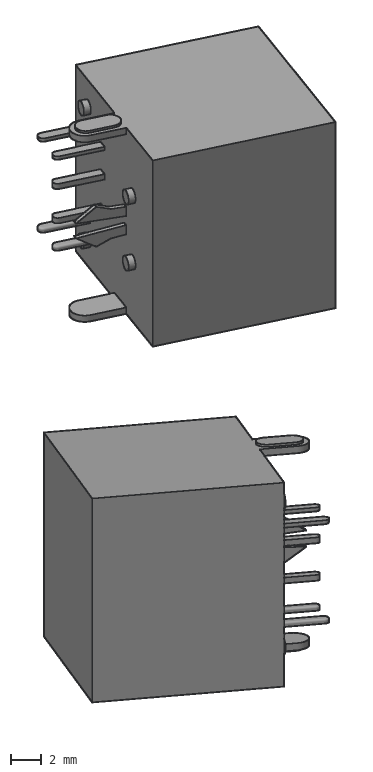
import cadquery as cq

body_width = 13.1
body_depth = 12.8
body_height = 14.02

pin_length = 3.5

standoff_diameter = 1.01
standoff_length = 0.49
outer_column_x = -4.45
standoff_places = [(outer_column_x, 5.0), (3.15, 2.5)]

inner_column_x = -1.95
outer_pin_width = 0.75
inner_pin_width = 0.68
thin_pin_z = 3.39
thin_pin_thickness = 0.33
pin_fillet_radius = 0.15
thick_pin_z = 1.29
thick_pin_thickness = 0.4

blade_x = 1.86
blade_thickness = 0.35
blade_inner_root = (0, 0.35)
blade_tip = (pin_length, 0.55)
blade_barb_peak = (2.09, 1.5)
blade_barb_start = (1.06, 1.11)
blade_outer_root = (0, 1.05)

lug_x = 1.06
lug_width = 2.02
lug_thickness = 0.49
pad_width = 1.4
pad_length = 3.13
pad_height = 0.16


def housing():
    """Block centred on X and Z that reaches back from the pin face to +Y."""
    return cq.Workplane("XY").box(
        body_width, body_depth, body_height, centered=(True, False, True)
    )


def round_ended_tongue(x_mid, width, z_low, thickness):
    """Flat tongue leaving the pin face, with a semicircular free end."""
    radius = width / 2
    straight_end = -(pin_length - radius)
    return (
        cq.Workplane("XY", origin=(x_mid, 0, z_low))
        .moveTo(-radius, 0)
        .lineTo(-radius, straight_end)
        .threePointArc((0, -pin_length), (radius, straight_end))
        .lineTo(radius, 0)
        .close()
        .extrude(thickness)
    )


def thin_pin(x_mid, width):
    """Upper thin pin, rounded along its sides and end on the inner face."""
    z_low = thin_pin_z - thin_pin_thickness / 2
    pin = round_ended_tongue(x_mid, width, z_low, thin_pin_thickness)
    inner_rim = pin.faces("<Z").edges("not >Y")
    return inner_rim.fillet(pin_fillet_radius)


def thick_pin():
    z_low = thick_pin_z - thick_pin_thickness / 2
    return round_ended_tongue(inner_column_x, inner_pin_width, z_low, thick_pin_thickness)


def standoff(x, z):
    return (
        cq.Workplane("XZ", origin=(x, 0, z))
        .circle(standoff_diameter / 2)
        .extrude(standoff_length)
    )


def clip_blade():
    """Upper blade: sloping inner edge and a barb on the outer edge."""
    corners = [
        blade_inner_root,
        blade_tip,
        blade_barb_peak,
        blade_barb_start,
        blade_outer_root,
    ]
    outline = [(-reach, z) for reach, z in corners]
    return (
        cq.Workplane("YZ", origin=(blade_x, 0, 0))
        .polyline(outline)
        .close()
        .extrude(blade_thickness / 2, both=True)
    )


def mounting_lug():
    """Upper lug with a raised round-ended pad on its outer face."""
    top = body_height / 2
    lug = round_ended_tongue(lug_x, lug_width, top - lug_thickness, lug_thickness)
    pad = (
        cq.Workplane("XY", origin=(lug_x, -pad_length / 2, top))
        .slot2D(pad_length, pad_width, 90)
        .extrude(pad_height)
    )
    return lug.union(pad)


upper_features = [standoff(x, z) for x, z in standoff_places]
upper_features += [
    thin_pin(outer_column_x, outer_pin_width),
    thin_pin(inner_column_x, inner_pin_width),
    thick_pin(),
    clip_blade(),
    mounting_lug(),
]

result = housing()
for feature in upper_features:
    result = result.union(feature).union(feature.mirror("XY"))